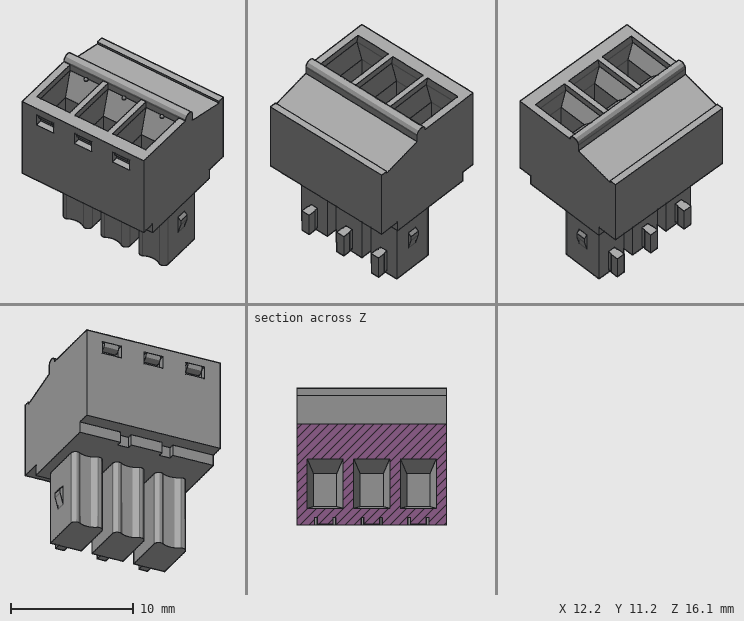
import cadquery as cq
import math


WIDTH = 12.22
DEPTH = 11.2
HEIGHT = 16.1
POLE_COUNT = 3
PITCH = 3.81
POLE_XS = [(i - (POLE_COUNT - 1) / 2) * PITCH for i in range(POLE_COUNT)]

RIDGE_RADIUS = 0.5
RIDGE_Y = 6.36
RIDGE_FRONT_Y = RIDGE_Y - RIDGE_RADIUS
RIDGE_BACK_Y = RIDGE_Y + RIDGE_RADIUS
TOP_Z = HEIGHT - RIDGE_RADIUS
BODY_BOTTOM_Z = 7.57
REAR_TOP_Z = 14.2
LIP_DEPTH = 0.62
LIP_HEIGHT = 0.2
SLOPE_TOP_Z = 14.92

STEP_FRONT_Y = 1.25
STEP_DEPTH = 8.0
STEP_BOTTOM_Z = 6.6
STEP_NOTCH_DEPTH = 0.5

MOUTH_WIDTH = 3.31
MOUTH_FRONT_Y = 1.17
RIM_FRONT_Y = 1.32
MOUTH_RIM_DEPTH = 0.63
SHAFT_WIDTH = 1.89
SHAFT_FRONT_Y = 1.51
SHAFT_BACK_Y = 4.2
FUNNEL_DEPTH = 2.03
SHAFT_DEPTH = 5.0
BEAD_RADIUS = 0.21
BEAD_DROP = 0.75

WINDOW_WIDTH = 1.71
WINDOW_HEIGHT = 1.09
WINDOW_DROP = 0.74
WINDOW_DEPTH = 0.6
BAR_WIDTH = 1.31
BAR_RADIUS = 0.59

POST_WIDTH = 2.84
POST_FRONT_Y = 4.23
POST_BACK_Y = 8.37
POST_CORNER_RADIUS = 0.43
GROOVE_WIDTH = 1.71
GROOVE_SAG = 0.27

NUB_PROJECTION = 0.28
NUB_FRONT_Y = 6.05
NUB_WIDTH = 0.9
NUB_BOTTOM_Z = 2.5
NUB_FLAT_BOTTOM_Z = 3.5
NUB_FLAT_TOP_Z = 3.93
NUB_TOP_Z = 4.2

KEY_HEAD_WIDTH = 0.8
KEY_NECK_WIDTH = 0.7
KEY_BACK_Y = 9.46
KEY_HEAD_FRONT_Y = 8.77
KEY_NECK_BACK_Y = 8.66
KEY_BOTTOM_Z = 0.32
KEY_TOP_Z = 2.49


def box(x_center, x_size, y_min, y_max, z_min, z_max):
    """Box centred on x_center, between the given Y and Z limits."""
    size = (x_size, y_max - y_min, z_max - z_min)
    return cq.Workplane("XY").box(*size, centered=(True, False, False)).translate((x_center, y_min, z_min))


def make_housing():
    """Side profile of the housing, with its rear lip, sloped roof, ridge and lower step."""
    step_back_y = STEP_FRONT_Y + STEP_DEPTH
    lip_y = DEPTH - LIP_DEPTH
    profile = (
        cq.Workplane("YZ")
        .moveTo(0, BODY_BOTTOM_Z)
        .lineTo(0, TOP_Z)
        .lineTo(RIDGE_FRONT_Y, TOP_Z)
        .threePointArc((RIDGE_Y, HEIGHT), (RIDGE_BACK_Y, TOP_Z))
        .lineTo(RIDGE_BACK_Y, SLOPE_TOP_Z)
        .lineTo(lip_y, REAR_TOP_Z - LIP_HEIGHT)
        .lineTo(lip_y, REAR_TOP_Z)
        .lineTo(DEPTH, REAR_TOP_Z)
        .lineTo(DEPTH, BODY_BOTTOM_Z)
        .lineTo(step_back_y, BODY_BOTTOM_Z)
        .lineTo(step_back_y, STEP_BOTTOM_Z)
        .lineTo(STEP_FRONT_Y, STEP_BOTTOM_Z)
        .lineTo(STEP_FRONT_Y, BODY_BOTTOM_Z)
        .close()
    )
    return profile.extrude(WIDTH / 2, both=True)


def make_step_notch(x):
    """Shallow notch in the front of the step, filling the gap between two posts."""
    gap = PITCH - POST_WIDTH
    notch_back_y = STEP_FRONT_Y + STEP_NOTCH_DEPTH
    return box(x, gap, STEP_FRONT_Y, notch_back_y, STEP_BOTTOM_Z, BODY_BOTTOM_Z)


def rectangle_at(x, width, front_y, back_y, z):
    """Horizontal rectangular wire used as a funnel section."""
    center = cq.Vector(x, (front_y + back_y) / 2, z)
    return cq.Workplane("XY", origin=center).rect(width, back_y - front_y).wires().val()


def make_wire_entry(x):
    """Funnel and shaft; the front wall slopes all the way from the mouth to the shaft."""
    rim_z = TOP_Z - MOUTH_RIM_DEPTH
    funnel_z = TOP_Z - FUNNEL_DEPTH
    mouth = rectangle_at(x, MOUTH_WIDTH, MOUTH_FRONT_Y, RIDGE_FRONT_Y, TOP_Z)
    rim = rectangle_at(x, MOUTH_WIDTH, RIM_FRONT_Y, RIDGE_FRONT_Y, rim_z)
    throat = rectangle_at(x, SHAFT_WIDTH, SHAFT_FRONT_Y, SHAFT_BACK_Y, funnel_z)
    upper = cq.Workplane(cq.Solid.makeLoft([mouth, rim], True))
    lower = cq.Workplane(cq.Solid.makeLoft([rim, throat], True))
    shaft = box(x, SHAFT_WIDTH, SHAFT_FRONT_Y, SHAFT_BACK_Y, TOP_Z - SHAFT_DEPTH, funnel_z)
    return upper.union(lower).union(shaft)


def make_bead(x):
    """Small ball set into the rear wall of a wire entry."""
    return cq.Workplane("XY").sphere(BEAD_RADIUS).translate((x, RIDGE_FRONT_Y, TOP_Z - BEAD_DROP))


def make_window(x):
    """Blind window in the front face, less the quarter-round bar along its upper rear edge."""
    top_z = TOP_Z - WINDOW_DROP
    window = box(x, WINDOW_WIDTH, 0, WINDOW_DEPTH, top_z - WINDOW_HEIGHT, top_z)
    bar = (
        cq.Workplane("YZ", origin=(x, WINDOW_DEPTH, top_z))
        .circle(BAR_RADIUS)
        .extrude(BAR_WIDTH / 2, both=True)
    )
    return window.cut(bar)


def make_post(x):
    """Plug post: rounded front corners that run into a concave groove."""
    half_width = POST_WIDTH / 2
    half_groove = GROOVE_WIDTH / 2
    corner_x = half_width - POST_CORNER_RADIUS
    corner_y = POST_FRONT_Y + POST_CORNER_RADIUS
    groove_angle = math.asin((corner_x - half_groove) / POST_CORNER_RADIUS)
    groove_edge_y = corner_y - POST_CORNER_RADIUS * math.cos(groove_angle)
    profile = (
        cq.Workplane("XY", origin=(x, 0, 0))
        .moveTo(-half_width, POST_BACK_Y)
        .lineTo(-half_width, corner_y)
        .threePointArc((-corner_x, POST_FRONT_Y), (-half_groove, groove_edge_y))
        .threePointArc((0, groove_edge_y + GROOVE_SAG), (half_groove, groove_edge_y))
        .threePointArc((corner_x, POST_FRONT_Y), (half_width, corner_y))
        .lineTo(half_width, POST_BACK_Y)
        .close()
    )
    return profile.extrude(STEP_BOTTOM_Z)


def make_key(x):
    """Coding key on the back of a post: a head slightly wider than its neck."""
    half_head = KEY_HEAD_WIDTH / 2
    half_neck = KEY_NECK_WIDTH / 2
    half_profile = [
        (half_neck, POST_BACK_Y),
        (half_neck, KEY_NECK_BACK_Y),
        (half_head, KEY_HEAD_FRONT_Y),
        (half_head, KEY_BACK_Y),
    ]
    mirrored = [(-px, py) for px, py in reversed(half_profile)]
    profile = cq.Workplane("XY", origin=(x, 0, KEY_BOTTOM_Z)).polyline(half_profile + mirrored).close()
    return profile.extrude(KEY_TOP_Z - KEY_BOTTOM_Z)


def make_nub(side):
    """Latch nub on the outer face of an end post; side is -1 for left, +1 for right."""
    post_face_x = side * (POLE_XS[-1] + POST_WIDTH / 2)
    tip_x = post_face_x + side * NUB_PROJECTION
    outline = [
        (post_face_x, NUB_BOTTOM_Z),
        (tip_x, NUB_FLAT_BOTTOM_Z),
        (tip_x, NUB_FLAT_TOP_Z),
        (post_face_x, NUB_TOP_Z),
    ]
    return cq.Workplane("XZ", origin=(0, NUB_FRONT_Y, 0)).polyline(outline).close().extrude(-NUB_WIDTH)


result = make_housing()

for left_x, right_x in zip(POLE_XS, POLE_XS[1:]):
    result = result.cut(make_step_notch((left_x + right_x) / 2))

for pole_x in POLE_XS:
    result = result.cut(make_wire_entry(pole_x)).union(make_bead(pole_x))
    result = result.cut(make_window(pole_x))
    result = result.union(make_post(pole_x)).union(make_key(pole_x))

for outer_side in (-1, 1):
    result = result.union(make_nub(outer_side))